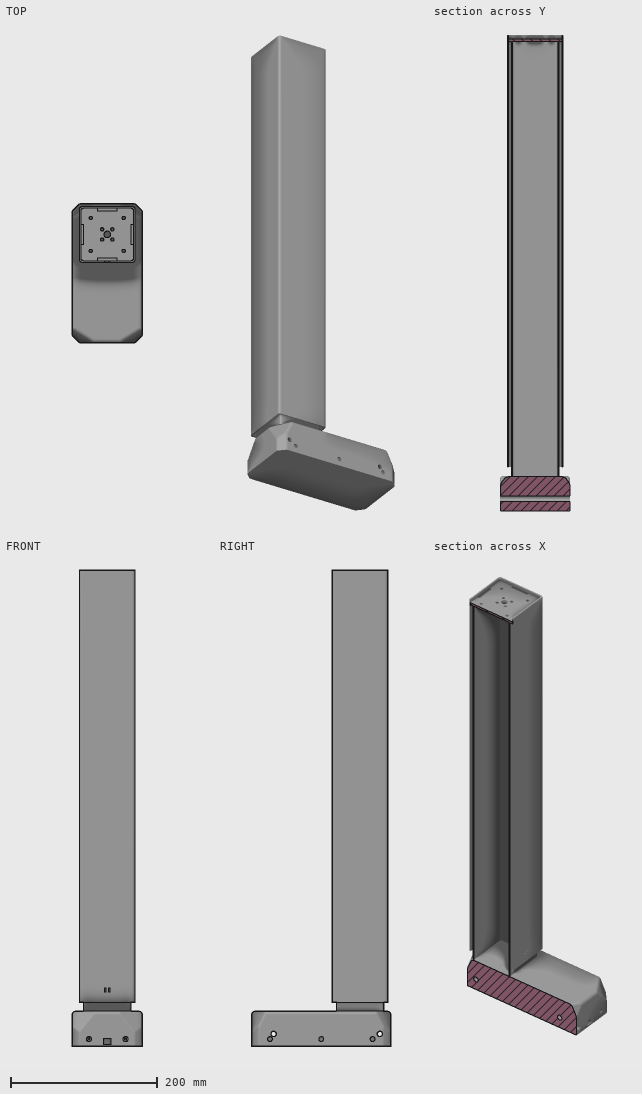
import cadquery as cq

BASE_WIDTH = 96
BASE_LENGTH = 190
BASE_HEIGHT = 48
BASE_ROUND = 5
CORNER_CHAMFER = 10
FACET_ALONG_WIDTH = 33
FACET_ALONG_LENGTH = 20
FACET_ALONG_HEIGHT = 41

SCREW_HEIGHT = 10
END_SCREW_DEPTH = 8
SIDE_SCREW_DEPTH = 3
SIDE_SCREW_DIAMETER = 6.5
SIDE_SCREW_YS = (-70, 0, 70)
END_SCREW_DIAMETER = 3
END_SCREW_HEAD = 7
END_SCREW_HEAD_ANGLE = 90
END_SCREW_SPACING = 50
CROSS_HOLE_DIAMETER = 7
CROSS_HOLE_HEIGHT = 17
CROSS_HOLE_YS = (-65, 80)
SOCKET_WIDTH = 10
SOCKET_HEIGHT = 8
SOCKET_BOTTOM = 2.5
SOCKET_DEPTH = 8

COLUMN_Y = 53
COLUMN_TOP = 650
WALL = 2
OUTER_WIDTH = 76
OUTER_ROUND = 4
OUTER_BOTTOM = 60
INNER_WIDTH = 65
INNER_ROUND = 3

SLOT_WIDTH = 2
SLOT_LENGTH = 6
SLOT_SPACING = 6
SLOT_HEIGHT = 77

PLATE_RECESS = 5
PLATE_THICKNESS = 4
PLATE_WIDTH = OUTER_WIDTH - 2 * WALL
PLATE_ROUND = OUTER_ROUND
EDGE_STEP_LENGTH = 27
EDGE_STEP_INSET = 3.8
EDGE_STEP_DEPTH = 2
MOUNT_SPACING = 45
MOUNT_DIAMETER = 4.5
HUB_SPACING = 14
HUB_DIAMETER = 4.5
HUB_BORE = 9

PLATE_TOP = COLUMN_TOP - PLATE_RECESS
PLATE_BOTTOM = PLATE_TOP - PLATE_THICKNESS


def corner_facet_cutter(side, end):
    """Tetrahedron that slices one top corner off the base; side and end are -1 or 1."""
    corner = cq.Vector(side * BASE_WIDTH / 2, end * BASE_LENGTH / 2, BASE_HEIGHT)
    tips = [
        corner,
        corner - cq.Vector(side * FACET_ALONG_WIDTH, 0, 0),
        corner - cq.Vector(0, end * FACET_ALONG_LENGTH, 0),
        corner - cq.Vector(0, 0, FACET_ALONG_HEIGHT),
    ]
    faces = []
    for opposite in tips:
        triangle = [tip for tip in tips if tip is not opposite]
        faces.append(cq.Face.makeFromWires(cq.Wire.makePolygon(triangle, close=True)))
    return cq.Workplane(cq.Solid.makeSolid(cq.Shell.makeShell(faces)))


def base_outer_shape():
    body = cq.Workplane().box(BASE_WIDTH, BASE_LENGTH, BASE_HEIGHT, centered=(True, True, False))
    body = body.edges("|Z").chamfer(CORNER_CHAMFER)
    for side in (-1, 1):
        for end in (-1, 1):
            body = body.cut(corner_facet_cutter(side, end))
    return body.edges("not <Z").fillet(BASE_ROUND)


def side_screw_holes():
    """Blind round holes in the -X and +X sides of the base."""
    holes = cq.Workplane()
    for side in (-1, 1):
        wall = cq.Workplane("YZ", origin=(side * BASE_WIDTH / 2, 0, SCREW_HEIGHT))
        centers = wall.pushPoints([(y, 0) for y in SIDE_SCREW_YS])
        holes = holes.add(centers.circle(SIDE_SCREW_DIAMETER / 2).extrude(-side * SIDE_SCREW_DEPTH).vals())
    return holes.combine()


def cross_holes():
    """Round holes that run right across the base along X."""
    centers = cq.Workplane("YZ").pushPoints([(y, CROSS_HOLE_HEIGHT) for y in CROSS_HOLE_YS])
    return centers.circle(CROSS_HOLE_DIAMETER / 2).extrude(BASE_WIDTH / 2, both=True)


def make_base():
    body = base_outer_shape().cut(side_screw_holes()).cut(cross_holes())

    end_wall = cq.Workplane("XZ", origin=(0, -BASE_LENGTH / 2, 0))
    socket = end_wall.center(0, SOCKET_BOTTOM + SOCKET_HEIGHT / 2)
    body = body.cut(socket.rect(SOCKET_WIDTH, SOCKET_HEIGHT).extrude(-SOCKET_DEPTH))
    screw_centers = [(side * END_SCREW_SPACING / 2, SCREW_HEIGHT) for side in (-1, 1)]
    return (
        body.copyWorkplane(end_wall)
        .pushPoints(screw_centers)
        .cskHole(END_SCREW_DIAMETER, END_SCREW_HEAD, END_SCREW_HEAD_ANGLE, depth=END_SCREW_DEPTH)
    )


def column_block(width, corner_round, bottom, top):
    """Upright square bar on the column axis, with rounded upright edges."""
    section = cq.Workplane(origin=(0, COLUMN_Y, bottom)).rect(width, width)
    return section.extrude(top - bottom).edges("|Z").fillet(corner_round)


def square_tube(width, corner_round, bottom, top):
    """Tube of even wall on the flats, with the same corner radius inside and outside."""
    bar = column_block(width, corner_round, bottom, top)
    return bar.cut(column_block(width - 2 * WALL, corner_round, bottom, top))


def make_outer_tube():
    tube = square_tube(OUTER_WIDTH, OUTER_ROUND, OUTER_BOTTOM, COLUMN_TOP)
    front_wall = cq.Workplane("XZ", origin=(0, COLUMN_Y - OUTER_WIDTH / 2, SLOT_HEIGHT))
    slots = front_wall.rarray(SLOT_SPACING, 1, 2, 1).rect(SLOT_WIDTH, SLOT_LENGTH).extrude(-WALL)
    return tube.cut(slots)


def make_inner_tube():
    return square_tube(INNER_WIDTH, INNER_ROUND, BASE_HEIGHT, PLATE_BOTTOM)


def make_top_plate():
    plate = column_block(PLATE_WIDTH, PLATE_ROUND, PLATE_BOTTOM, PLATE_TOP)
    top = cq.Workplane(origin=(0, COLUMN_Y, PLATE_TOP))

    for spacing, diameter in ((MOUNT_SPACING, MOUNT_DIAMETER), (HUB_SPACING, HUB_DIAMETER)):
        centers = top.rect(spacing, spacing, forConstruction=True).vertices()
        plate = plate.cut(centers.circle(diameter / 2).extrude(-PLATE_THICKNESS))
    plate = plate.cut(top.circle(HUB_BORE / 2).extrude(-PLATE_THICKNESS))

    step_centers = top.polarArray(PLATE_WIDTH / 2, 0, 360, 4)
    edge_steps = step_centers.rect(2 * EDGE_STEP_INSET, EDGE_STEP_LENGTH).extrude(-EDGE_STEP_DEPTH)
    return plate.cut(edge_steps)


base = make_base()
outer_tube = make_outer_tube()
inner_tube = make_inner_tube()
top_plate = make_top_plate()

result = cq.Compound.makeCompound([base.val(), outer_tube.val(), inner_tube.val(), top_plate.val()])